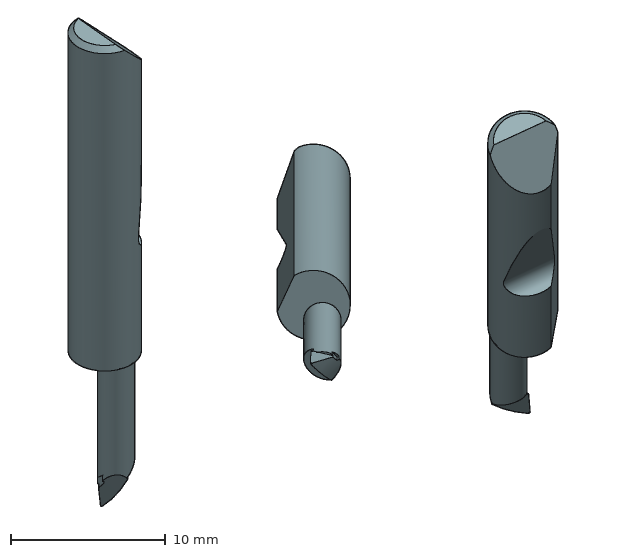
import cadquery as cq
import math

length = 37.88
shank_radius = 2.4
shank_bottom = 12.5
end_chamfer = 0.38

flat_start_angle = 108.5
flat_end_angle = 178.0

end_slope_drop = 3.03
notch_top = 29.55
notch_bottom = 20.95
notch_depth = 1.48
notch_radius = 1.0

neck_radius = 1.2
neck_x = shank_radius - neck_radius
rake_top = 3.8

tip_x = -0.3
tip_left = -0.4
tip_edge_bottom = 0.1
tip_shoulder_x = -0.3
tip_shoulder_z = 2.75
relief_mid = (0.85, 1.3)
relief_end = (shank_radius, 3.65)
relief_rise = 1.28
flank_shift = 0.93

front_flat_y = -1.05
front_flat_end = (1.25, 3.83)

margin = 0.75


def loft_profile(wire, shift):
    """Sweep a closed XZ wire in a straight line to a copy moved by shift."""
    return cq.Workplane(cq.Solid.makeLoft([wire, wire.translate(cq.Vector(*shift))], True))


def cut_from_side(profile):
    """Extrude a YZ profile across the full width of the shank."""
    return profile.extrude(shank_radius + margin, both=True)


def make_shank():
    shank = (
        cq.Workplane("XY")
        .workplane(offset=shank_bottom)
        .circle(shank_radius)
        .extrude(length - shank_bottom)
        .faces(">Z")
        .chamfer(end_chamfer)
    )
    normal_angle = (flat_start_angle + flat_end_angle) / 2
    half_angle = math.radians(flat_end_angle - flat_start_angle) / 2
    flat_distance = shank_radius * math.cos(half_angle)
    flat_cut = (
        cq.Workplane("XY")
        .box(shank_radius, 2 * shank_radius, length, centered=(False, True, False))
        .translate((flat_distance, 0, 0))
        .rotate((0, 0, 0), (0, 0, 1), normal_angle)
    )
    slope_start = length - end_slope_drop
    slope_run = end_slope_drop + margin
    slope_cut = cut_from_side(
        cq.Workplane("YZ")
        .moveTo(shank_radius, slope_start)
        .lineTo(shank_radius - slope_run, slope_start + slope_run)
        .lineTo(shank_radius, slope_start + slope_run)
        .close()
    )
    return shank.cut(flat_cut).cut(slope_cut).cut(make_notch())


def make_notch():
    floor_y = shank_radius - notch_depth
    notch = cut_from_side(
        cq.Workplane("YZ")
        .moveTo(shank_radius, notch_top)
        .lineTo(floor_y, notch_bottom)
        .lineTo(shank_radius, notch_bottom)
        .close()
    )
    return notch.edges("<Y").fillet(notch_radius)


def make_neck():
    neck = (
        cq.Workplane("XY")
        .center(neck_x, 0)
        .circle(neck_radius)
        .extrude(shank_bottom)
    )
    rake_depth = neck_radius + margin
    rake_cut = cut_from_side(
        cq.Workplane("YZ")
        .moveTo(0, 0)
        .lineTo(0, rake_top)
        .lineTo(rake_depth, rake_top + rake_depth)
        .lineTo(rake_depth, 0)
        .close()
    )
    tip_space = (
        cq.Workplane("XY")
        .box(2 * shank_radius, 2 * shank_radius, tip_shoulder_z, centered=(True, True, False))
        .translate((neck_x, 0, 0))
    )
    return neck.cut(rake_cut).cut(tip_space)


def make_tip():
    outline = (
        cq.Workplane("XZ")
        .moveTo(tip_x, 0)
        .lineTo(tip_left, tip_edge_bottom)
        .lineTo(tip_shoulder_x, tip_shoulder_z)
        .lineTo(shank_radius, tip_shoulder_z)
        .lineTo(shank_radius, 0)
        .close()
        .val()
    )
    return loft_profile(outline, (flank_shift * neck_radius, -neck_radius, 0))


def make_relief_cut():
    depth = neck_radius + margin
    outline = (
        cq.Workplane("XZ")
        .moveTo(tip_x, 0)
        .threePointArc(relief_mid, relief_end)
        .lineTo(relief_end[0] + depth, relief_end[1] + depth)
        .lineTo(relief_end[0] + depth, -length)
        .lineTo(tip_x, -length)
        .close()
        .val()
    )
    return loft_profile(outline, (0, -depth, relief_rise * depth))


def make_front_flat_cut():
    return (
        cq.Workplane("XZ", origin=(0, front_flat_y, 0))
        .moveTo(0, 0)
        .lineTo(0, tip_shoulder_z)
        .lineTo(*front_flat_end)
        .lineTo(front_flat_end[0], 0)
        .close()
        .extrude(neck_radius)
    )


cutter = make_neck().union(make_tip()).cut(make_relief_cut()).cut(make_front_flat_cut())
result = make_shank().union(cutter)